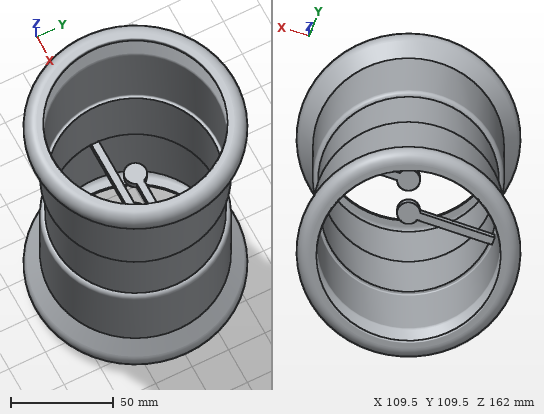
import cadquery as cq
import math

length = 162.0
outer_diameter = 109.5
socket_bore = 89.5
wall = 2.02
mouth_diameter = 90.0
mouth_round = 0.5
middle_diameter = 88.5
middle_bore = 85.9

bead_radius = 6.3
cone_slope = math.radians(49.0)
cone_foot_height = 63.3

shoulder_flat_diameter = 88.0
shoulder_height = 19.8
socket_wall_end = 21.2

hub_diameter = 11.3
arm_width = 4.0
marker_thickness = 4.0

half_length = length / 2
socket_inner = socket_bore / 2
socket_outer = socket_inner + wall
mouth_radius = mouth_diameter / 2
mouth_center = (mouth_radius + mouth_round, half_length - mouth_round)
bore_radius = middle_bore / 2
middle_outer = middle_diameter / 2
shoulder_flat_radius = shoulder_flat_diameter / 2

bead_center = (outer_diameter / 2 - bead_radius, half_length - bead_radius)
bead_inner_radius = bead_radius - wall
cone_normal = cone_slope - math.pi / 2

inner_round = socket_inner - shoulder_flat_radius
inner_round_center = (shoulder_flat_radius, shoulder_height + inner_round)
outer_round = socket_outer - middle_outer
outer_round_center = (middle_outer, socket_wall_end)
middle_half_length = socket_wall_end - outer_round


def polar(center, radius, angle):
    """Point of a circle in the (radius, height) plane."""
    return (center[0] + radius * math.cos(angle), center[1] + radius * math.sin(angle))


def make_socket():
    """Upper socket with its bead, revolved about Z from its wall section."""
    bead_mid_angle = (math.pi / 2 + cone_normal) / 2
    cone_foot = (socket_outer, cone_foot_height)
    wall_section = (
        cq.Workplane("XZ")
        .moveTo(bore_radius, middle_half_length)
        .lineTo(middle_outer, middle_half_length)
        .threePointArc(
            polar(outer_round_center, outer_round, -math.pi / 4),
            polar(outer_round_center, outer_round, 0),
        )
        .lineTo(*cone_foot)
        .lineTo(*polar(bead_center, bead_radius, cone_normal))
        .threePointArc(
            polar(bead_center, bead_radius, bead_mid_angle),
            polar(bead_center, bead_radius, math.pi / 2),
        )
        .lineTo(mouth_center[0], half_length)
        .threePointArc(
            polar(mouth_center, mouth_round, 3 * math.pi / 4),
            polar(mouth_center, mouth_round, math.pi),
        )
        .lineTo(mouth_radius, half_length - wall)
        .lineTo(bead_center[0], half_length - wall)
        .threePointArc(
            polar(bead_center, bead_inner_radius, bead_mid_angle),
            polar(bead_center, bead_inner_radius, cone_normal),
        )
        .lineTo(*polar(cone_foot, wall, cone_normal + math.pi))
        .threePointArc(
            polar(cone_foot, wall, cone_normal / 2 + math.pi),
            polar(cone_foot, wall, math.pi),
        )
        .lineTo(*polar(inner_round_center, inner_round, 0))
        .threePointArc(
            polar(inner_round_center, inner_round, -math.pi / 4),
            polar(inner_round_center, inner_round, -math.pi / 2),
        )
        .lineTo(bore_radius, shoulder_height)
        .close()
    )
    return wall_section.revolve(360, (0, 0, 0), (0, 1, 0))


def make_pipe():
    """Middle tube with a socket at each end."""
    middle = (
        cq.Workplane("XY")
        .workplane(offset=-middle_half_length)
        .circle(middle_outer)
        .circle(bore_radius)
        .extrude(2 * middle_half_length)
    )
    socket = make_socket()
    return middle.union(socket).union(socket.mirror("XY")).clean()


def make_marker():
    """Central disc with one arm along +X that rests on the upper shoulder."""
    level = cq.Workplane("XY").workplane(offset=shoulder_height)
    hub = level.circle(hub_diameter / 2).extrude(marker_thickness)
    arm = (
        level.center(shoulder_flat_radius / 2, 0)
        .rect(shoulder_flat_radius, arm_width)
        .extrude(marker_thickness)
    )
    return hub.union(arm)


pipe = make_pipe()

markers = []
for turn in (0, 180):
    markers.append(make_marker().rotate((0, 0, 0), (0, 1, 0), turn))

result = cq.Compound.makeCompound([pipe.val(), *[marker.val() for marker in markers]])